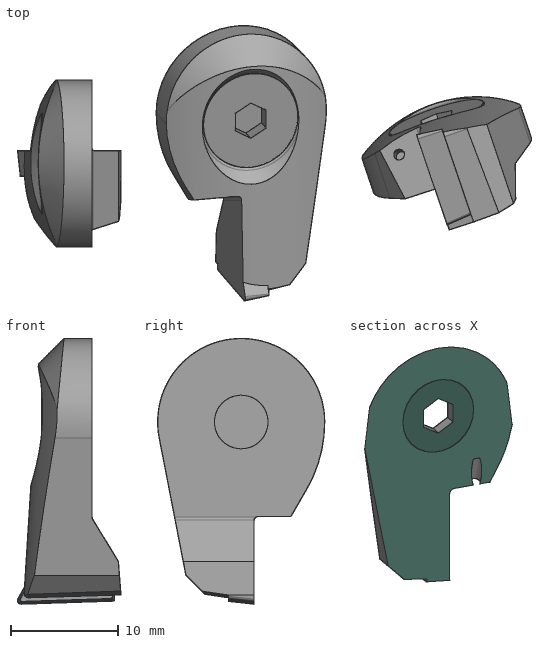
import cadquery as cq
import math


head_radius = 7.8
flank_angle = 11.0
flank_end_z = -14.3
shoulder_radius = 12.5
shoulder_angle = 30.0
leg_face_y = 1.2

foot_start_z = -9.0
foot_x = 2.45
foot_z = -13.0
foot_end_x = 2.69
foot_end_z = -16.14
foot_fillet = 0.5
front_x = -6.38
leg_corner_radius = 0.45
bottom_tilt = 1.7
bottom_relief = 8.5

dome_radius = 15.8
dome_ridge_x = -5.36
dome_lean = 3.6

bevel_top_x = -2.63
bevel_lean = 5.3
bevel_slope = 45.0

pocket_back_z = -8.82
pocket_slope = 17.9
pocket_fillet = 0.42
coolant_diameter = 1.0
coolant_depth = 2.5
coolant_x = -3.94
coolant_y = 3.93

screw_diameter = 9.2
screw_face_x = -4.75
screw_rim = 0.2
shank_diameter = 5.0
head_half_angle = 45.0
socket_flats = 3.0
socket_depth = 1.6
seat_radius = 4.85
entry_half_angle = 49.0
entry_depth = 3.0

tip_width = 2.4
tip_bottom_z = -17.02
tip_left_x = -7.23
tip_right_x = 2.1
tip_radius = 0.35
tip_end_left_x = -6.82
tip_end_right_x = 1.9
tip_end_radius = 0.14
tip_relief = 6.6
tip_tilt = 1.9
tip_lean = 29.0
tip_heel_radius = 0.2
tip_root_z = -14.8

reach = 20.0

tip_end_y = leg_face_y - tip_width
screw_radius = screw_diameter / 2
seat_start_x = screw_face_x + screw_rim


def sin(angle):
    return math.sin(math.radians(angle))


def cos(angle):
    return math.cos(math.radians(angle))


def tan(angle):
    return math.tan(math.radians(angle))


def revolve_about_x(points):
    return cq.Workplane("XY").polyline(points).close().revolve(360, (0, 0), (1, 0))


def shoulder_point(angle):
    y = head_radius - shoulder_radius * (1 - cos(angle))
    return (y, -shoulder_radius * sin(angle))


def outline_prism():
    """Head circle, straight flank, leg and shoulder, extruded along X."""
    flank_y = -head_radius * cos(flank_angle)
    flank_z = -head_radius * sin(flank_angle)
    flank_end_y = flank_y + (flank_z - flank_end_z) * tan(flank_angle)
    corner_y = flank_end_y + flank_end_z + reach
    shoulder_y, shoulder_z = shoulder_point(shoulder_angle)
    runout_y = shoulder_y - (shoulder_z - foot_z) * tan(shoulder_angle)
    return (
        cq.Workplane("YZ", origin=(-reach, 0, 0))
        .moveTo(head_radius, 0)
        .threePointArc((0, head_radius), (flank_y, flank_z))
        .lineTo(flank_end_y, flank_end_z)
        .lineTo(corner_y, -reach)
        .lineTo(leg_face_y, -reach)
        .lineTo(leg_face_y, foot_z)
        .lineTo(runout_y, foot_z)
        .lineTo(shoulder_y, shoulder_z)
        .threePointArc(shoulder_point(shoulder_angle / 2), (head_radius, 0))
        .close()
        .extrude(2 * reach)
    )


def back_prism():
    """Everything in front of the flat back and the foot."""
    foot_corner = cq.selectors.NearestToPointSelector((0, 0, foot_start_z))
    return (
        cq.Workplane("XZ", origin=(0, reach, 0))
        .polyline([
            (-reach, reach),
            (0, reach),
            (0, foot_start_z),
            (foot_x, foot_z),
            (foot_end_x, foot_end_z),
            (foot_end_x, -reach),
            (-reach, -reach),
        ])
        .close()
        .extrude(2 * reach)
        .edges(foot_corner)
        .fillet(foot_fillet)
    )


def bottom_prism():
    """Everything above the tilted bottom with its rounded front corner."""
    bottom_front_z = foot_end_z - (foot_end_x - front_x) * tan(bottom_tilt)
    return (
        cq.Workplane("XZ", origin=(0, reach, 0))
        .polyline([
            (front_x, bottom_front_z),
            (foot_end_x, foot_end_z),
            (foot_end_x, reach),
            (front_x, reach),
        ])
        .close()
        .extrude(2 * reach)
        .edges("|Y and <X and <Z")
        .fillet(leg_corner_radius)
        .rotate((0, tip_end_y, foot_end_z), (1, tip_end_y, foot_end_z), -bottom_relief)
    )


def dome():
    """Leaning cylinder whose -X side is the front face."""
    centre_x = dome_ridge_x + dome_radius / cos(dome_lean)
    return (
        cq.Workplane("XY", origin=(centre_x, 0, -2 * reach))
        .circle(dome_radius)
        .extrude(4 * reach)
        .rotate((centre_x, 0, 0), (centre_x, 1, 0), dome_lean)
    )


def bevel_cutter():
    """Upper half space outside the leaning bevel cone."""
    base_x = bevel_top_x - head_radius * tan(bevel_lean)
    base_radius = head_radius / cos(bevel_lean)
    flare = tan(bevel_slope + bevel_lean)
    apex_x = -base_radius / flare
    cone = (
        revolve_about_x([(apex_x, 0), (reach, (reach - apex_x) * flare), (reach, 0)])
        .rotate((0, 0, 0), (0, 1, 0), bevel_lean)
        .translate((base_x, 0, 0))
    )
    upper_half = cq.Workplane("XY").box(2 * reach, 2 * reach, reach, centered=(True, True, False))
    return upper_half.cut(cone)


def chip_pocket():
    """Block below the sloping ceiling and beside the leg, with a rounded inner corner."""
    return (
        cq.Workplane("XY", origin=(0, leg_face_y, -reach))
        .box(2 * reach, reach, reach, centered=(True, False, False))
        .edges("|X and >Z and <Y")
        .fillet(pocket_fillet)
        .rotate((0, 0, 0), (0, 1, 0), pocket_slope)
        .translate((0, 0, pocket_back_z))
    )


def coolant_hole():
    """Blind hole square to the pocket ceiling."""
    ceiling_z = pocket_back_z - coolant_x * tan(pocket_slope)
    mouth = cq.Vector(coolant_x, coolant_y, ceiling_z)
    axis = cq.Vector(sin(pocket_slope), 0, cos(pocket_slope))
    hole = cq.Solid.makeCylinder(
        coolant_diameter / 2, 2 * coolant_depth, mouth - axis * coolant_depth, axis
    )
    return cq.Workplane(hole)


def screw_blank():
    """Countersunk head and shank, ending flush with the back of the cutting head."""
    shank_radius = shank_diameter / 2
    head_end_x = seat_start_x + (screw_radius - shank_radius) / tan(head_half_angle)
    return revolve_about_x([
        (screw_face_x, 0),
        (screw_face_x, screw_radius),
        (seat_start_x, screw_radius),
        (head_end_x, shank_radius),
        (0, shank_radius),
        (0, 0),
    ])


def screw_entry():
    """Seat cone continued past the screw head, then the wider entry cone."""
    seat_end_x = seat_start_x - (seat_radius - screw_radius) / tan(head_half_angle)
    entry_radius = seat_radius + entry_depth * tan(entry_half_angle)
    return revolve_about_x([
        (seat_start_x, 0),
        (seat_start_x, screw_radius),
        (seat_end_x, seat_radius),
        (seat_end_x - entry_depth, entry_radius),
        (seat_end_x - entry_depth, 0),
    ])


def tip_section(y, left_x, right_x, bottom_z, radius):
    """Closed section of the tip at one Y, rounded at its point and at its heel."""
    heel_z = bottom_z + (right_x - left_x) * tan(tip_tilt)
    root_x = left_x + (tip_root_z - bottom_z) * tan(tip_lean)
    corners = [(left_x, bottom_z), (right_x, heel_z), (right_x, tip_root_z), (root_x, tip_root_z)]
    wire = cq.Wire.makePolygon([cq.Vector(x, y, z) for x, z in corners], close=True)
    for (x, z), corner_radius in zip(corners, (radius, tip_heel_radius)):
        nearest = min(wire.Vertices(), key=lambda v: (v.X - x) ** 2 + (v.Z - z) ** 2)
        wire = wire.fillet2D(corner_radius, [nearest])
    return wire


def cutting_tip():
    """Tip that narrows from the cutting face towards -Y for clearance."""
    end_bottom_z = tip_bottom_z + tip_width * tan(tip_relief)
    face = tip_section(leg_face_y, tip_left_x, tip_right_x, tip_bottom_z, tip_radius)
    end = tip_section(tip_end_y, tip_end_left_x, tip_end_right_x, end_bottom_z, tip_end_radius)
    return cq.Workplane(cq.Solid.makeLoft([face, end], True))


def tip_clearance():
    """Block that trims the bottom of the leg level round the tip."""
    return (
        cq.Workplane("XY", origin=(0, tip_end_y, foot_end_z - reach))
        .box(2 * reach, reach, reach, centered=(True, False, False))
    )


def cutting_head():
    head = outline_prism().intersect(back_prism()).intersect(bottom_prism()).intersect(dome())
    head = head.cut(bevel_cutter()).cut(chip_pocket()).cut(coolant_hole())
    head = head.cut(screw_entry()).cut(screw_blank())
    return head.cut(tip_clearance()).union(cutting_tip())


def clamping_screw():
    socket = (
        cq.Workplane("YZ", origin=(screw_face_x, 0, 0))
        .polygon(6, socket_flats / cos(30))
        .extrude(socket_depth)
        .rotate((0, 0, 0), (1, 0, 0), 30)
    )
    return screw_blank().cut(socket)


head = cutting_head()
screw = clamping_screw()

result = cq.Compound.makeCompound([head.solids().val(), screw.solids().val()])